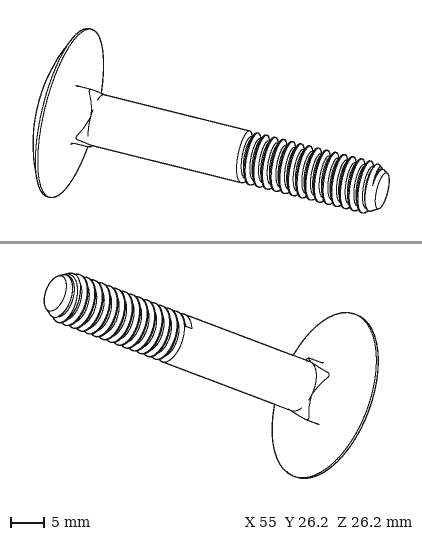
import cadquery as cq
import math


bolt_length = 55
head_radius = 13.1
dome_height = 3.8
rim_width = 0.4
head_height = dome_height + rim_width

shank_radius = 3.95

neck_side = 2 * shank_radius
neck_corner_radius = 0.65
neck_root_fillet = 0.8
neck_cone_start = 7.25
neck_cone_end = 8.35
neck_end = 8.9
neck_cone_end_radius = 4.1
neck_corner_reach = neck_side / math.sqrt(2) - neck_corner_radius * (math.sqrt(2) - 1)

thread_pitch = 18.4 / 13
thread_half_angle = math.radians(30)
thread_depth = 0.75
thread_root_radius = shank_radius - thread_depth
crest_flat = thread_pitch / 8
groove_start = 32.8
groove_overrun = 2 * thread_pitch
cutter_clearance = 0.03

tip_radius = 2.8
tip_taper_start = 53.0


def revolve_about_x(profile):
    return profile.close().revolve(360, (0, 0, 0), (1, 0, 0))


def make_head():
    dome_radius = (head_radius**2 + dome_height**2) / (2 * dome_height)
    middle_radius = head_radius / 2
    middle_x = dome_radius - math.sqrt(dome_radius**2 - middle_radius**2)
    return revolve_about_x(
        cq.Workplane("XY")
        .threePointArc((middle_x, middle_radius), (dome_height, head_radius))
        .lineTo(head_height, head_radius)
        .lineTo(head_height, 0)
    )


def make_neck():
    square = (
        cq.Workplane("YZ", origin=(head_height, 0, 0))
        .transformed(rotate=(0, 0, 45))
        .rect(neck_side, neck_side)
        .extrude(neck_end - head_height)
        .edges("|X")
        .fillet(neck_corner_radius)
    )
    envelope = revolve_about_x(
        cq.Workplane("XY")
        .moveTo(head_height, 0)
        .lineTo(head_height, neck_side)
        .lineTo(neck_cone_start, neck_side)
        .lineTo(neck_cone_start, neck_corner_reach)
        .lineTo(neck_cone_end, neck_cone_end_radius)
        .tangentArcPoint((neck_end, shank_radius), relative=False)
        .lineTo(neck_end, 0)
    )
    return square.intersect(envelope)


def make_head_and_neck():
    body = make_head().union(make_neck())
    select_margin = 0.05
    near_root = cq.selectors.BoxSelector(
        (head_height - select_margin, -neck_side, -neck_side),
        (head_height + select_margin, neck_side, neck_side),
        boundingbox=True,
    )
    return body.edges(near_root).fillet(neck_root_fillet)


def make_shank():
    return revolve_about_x(
        cq.Workplane("XY")
        .moveTo(head_height, 0)
        .lineTo(head_height, shank_radius)
        .lineTo(tip_taper_start, shank_radius)
        .lineTo(bolt_length, tip_radius)
        .lineTo(bolt_length, 0)
    )


def make_thread_groove():
    outer_radius = shank_radius + cutter_clearance
    crest_half_width = (thread_pitch - crest_flat) / 2
    slope = math.tan(thread_half_angle)
    root_half_width = crest_half_width - thread_depth * slope
    outer_half_width = crest_half_width + cutter_clearance * slope
    groove_length = bolt_length - groove_start + groove_overrun
    helix = cq.Wire.makeHelix(thread_pitch, groove_length, shank_radius)
    groove = (
        cq.Workplane("XZ")
        .moveTo(thread_root_radius, -root_half_width)
        .lineTo(outer_radius, -outer_half_width)
        .lineTo(outer_radius, outer_half_width)
        .lineTo(thread_root_radius, root_half_width)
        .close()
        .sweep(cq.Workplane(obj=helix), isFrenet=True)
    )
    return groove.rotate((0, 0, 0), (1, 1, 1), 120).translate((groove_start, 0, 0))


threaded_shank = make_shank().cut(make_thread_groove())
result = make_head_and_neck().union(threaded_shank)